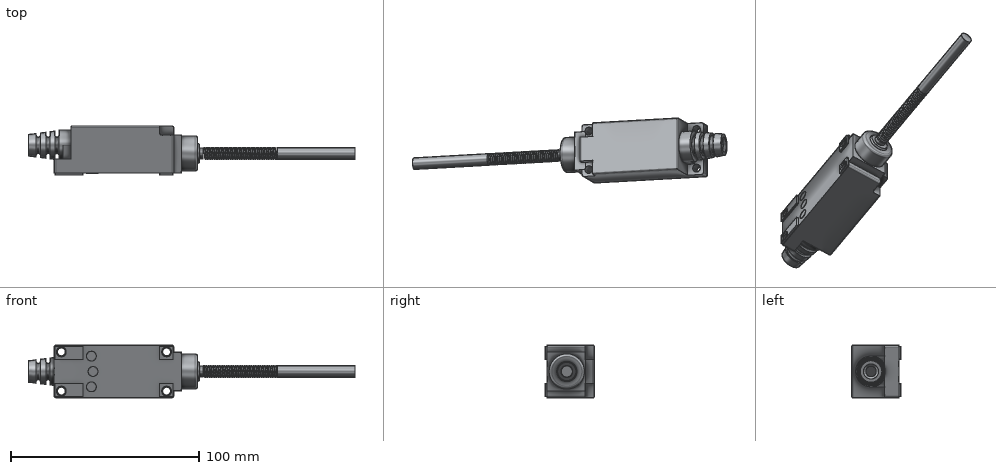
import cadquery as cq
import math


block_left = 22.5
block_right = 77.2
block_height = 28.0
face_y = 1.0
back_y = 26.0
foot_left = 13.7
foot_back = 8.5
end_fillet = 1.0
back_fillet = 0.7

hole_x = (17.5, 73.4)
hole_z = 10.4
hole_radius = 2.0
hole_chamfer = 0.5
hole_taper = 45
pad_spans = ((14.2, 29.0), (69.7, 76.7))
pad_inner_z = 6.5
pad_outer_z = 13.4

mark_radius = 2.6
mark_height = 0.2
mark_places = ((33.5, 8.2), (34.3, 0.0), (33.5, -8.2))

notch_left = pad_spans[1][0]
notch_front = 21.2
notch_floor_z = pad_inner_z
notch_fillet = 1.0

wand_y = 11.5
collar_right = 81.2
collar_back = 21.3
collar_height = 20.5
cap_right = 89.8
cap_radius = 9.4
cap_fillet = 1.4
disc_right = 90.9
disc_radius = 5.4
disc_tip_radius = 4.9
neck_right = 92.8
neck_radius = 3.0

gland_y = 15.8
gland_tip_radius = 5.7
gland_base_radius = 7.8
boss_radius = 8.2
boss_left = 16.3
boss_web_left = 18.4
groove_starts = (4.2, 9.4, 14.0)
groove_width = 2.3
groove_wall_radius = 5.2
groove_floor_radius = 4.3
bore_radius = 2.8
bore_mouth_radius = 4.0
bore_depth = boss_left
bore_taper = 45

wire_diameter = 0.9
spring_radius = 3.1
spring_turns = 32
rod_left = 132.0
rod_right = 173.5
rod_radius = spring_radius


def box(x_range, y_range, z_range):
    """Box given by its limits along each axis."""
    size = [high - low for low, high in (x_range, y_range, z_range)]
    corner = (x_range[0], y_range[0], z_range[0])
    return cq.Workplane("XY").box(*size, centered=False).translate(corner)


def cylinder(left, right, radius, axis_y):
    """Cylinder along X, centred on Z = 0."""
    plane = cq.Workplane("YZ", origin=(left, axis_y, 0))
    return plane.circle(radius).extrude(right - left)


def turned(profile, axis_y):
    """Solid of revolution about the X axis, moved to axis_y; the profile is drawn as (x, radius)."""
    return profile.close().revolve(360, (0, 0, 0), (1, 0, 0)).translate((0, axis_y, 0))


def make_block():
    """Main block with its foot; the ends and the back rim are rounded."""
    half = block_height / 2
    body = box((block_left, block_right), (face_y, back_y), (-half, half))
    body = body.faces(">Y").edges("|X or <X").fillet(back_fillet)
    foot = box((foot_left, block_right), (face_y, foot_back), (-half, half))
    body = body.union(foot)
    for end in ("<X", ">X"):
        body = body.faces(end).edges("|Y").fillet(end_fillet)
    for side in (1, -1):
        z_range = sorted((side * notch_floor_z, side * block_height))
        notch = box((notch_left, collar_right), (notch_front, back_y), z_range)
        body = body.cut(notch.edges("|Z and <X and <Y").fillet(notch_fillet))
    return body


def make_head():
    """Square collar, round cap, disc and the neck that meets the spring."""
    half = collar_height / 2
    collar = box((block_right - 2 * end_fillet, collar_right), (face_y, collar_back), (-half, half))
    cap = cylinder(collar_right, cap_right, cap_radius, wand_y).faces(">X").edges().fillet(cap_fillet)
    disc_length = disc_right - cap_right
    disc_taper = math.degrees(math.atan((disc_radius - disc_tip_radius) / disc_length))
    disc = (
        cq.Workplane("YZ", origin=(cap_right, wand_y, 0))
        .circle(disc_radius)
        .extrude(disc_length, taper=disc_taper)
    )
    neck = cylinder(disc_right, neck_right, neck_radius, wand_y)
    return collar.union(cap).union(disc).union(neck)


def make_gland():
    """Tapered, grooved cable gland on a round boss."""
    gland = turned(
        cq.Workplane("XY")
        .lineTo(0, gland_tip_radius)
        .lineTo(boss_left, gland_base_radius)
        .lineTo(boss_left, 0),
        gland_y,
    )
    for start in groove_starts:
        end = start + groove_width
        groove = turned(
            cq.Workplane("XY")
            .moveTo(start, boss_radius)
            .lineTo(start, groove_wall_radius)
            .threePointArc(((start + end) / 2, groove_floor_radius), (end, groove_wall_radius))
            .lineTo(end, boss_radius),
            gland_y,
        )
        gland = gland.cut(groove)
    boss = cylinder(boss_left, block_left, boss_radius, gland_y)
    web = box((boss_web_left, block_left), (foot_back, gland_y), (-boss_radius, boss_radius))
    bore = cylinder(0, bore_depth, bore_radius, gland_y)
    bore = bore.union(
        cq.Workplane("YZ", origin=(0, gland_y, 0))
        .circle(bore_mouth_radius)
        .extrude(bore_mouth_radius - bore_radius, taper=bore_taper)
    )
    return gland.union(boss).union(web).cut(bore)


def add_face_details(body):
    """Raised pads and round marks on the mounting face, then the mounting holes through all."""
    for left, right in pad_spans:
        for side in (1, -1):
            z_range = sorted((side * pad_inner_z, side * pad_outer_z))
            body = body.union(box((left, right), (0, face_y), z_range))
    for x, z in mark_places:
        mark = cq.Workplane("XZ", origin=(x, face_y, z)).circle(mark_radius).extrude(mark_height)
        body = body.union(mark)
    for x in hole_x:
        for z in (hole_z, -hole_z):
            start = cq.Workplane("XZ", origin=(x, 0, z))
            body = body.cut(start.circle(hole_radius).extrude(-back_y))
            mouth = start.circle(hole_radius + hole_chamfer).extrude(-hole_chamfer, taper=hole_taper)
            body = body.cut(mouth)
    return body


def make_spring():
    """Left-handed coil that touches the neck at one end and the rod at the other."""
    length = rod_left - neck_right - wire_diameter
    coil_radius = spring_radius - wire_diameter / 2
    path = cq.Wire.makeHelix(length / spring_turns, length, coil_radius, lefthand=True)
    wire = cq.Workplane("XZ", origin=(coil_radius, 0, 0)).circle(wire_diameter / 2)
    coil = wire.sweep(cq.Workplane(path), isFrenet=True)
    coil = coil.rotate((0, 0, 0), (0, 1, 0), 90)
    coil = coil.rotate((0, 0, 0), (1, 0, 0), 180)
    return coil.translate((neck_right + wire_diameter / 2, wand_y, 0))


housing = add_face_details(make_block().union(make_head()).union(make_gland()))
spring = make_spring()
rod = cylinder(rod_left, rod_right, rod_radius, wand_y)

result = cq.Compound.makeCompound([housing.val(), spring.val(), rod.val()])